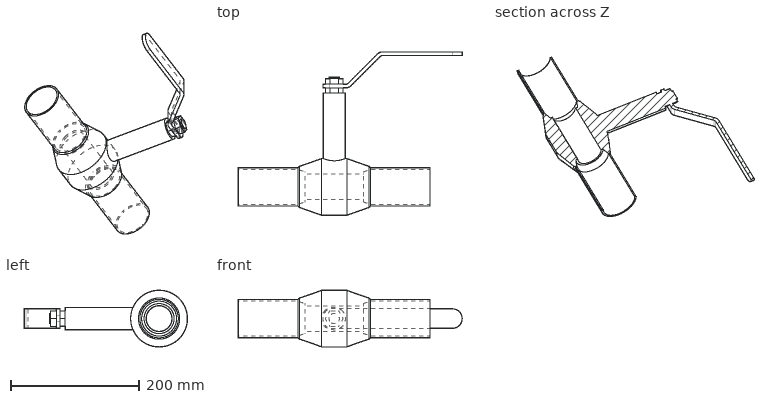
import cadquery as cq
import math

overall_length = 350.0
overall_depth = 255.5

pipe_length = 300.0
pipe_half_length = pipe_length / 2
pipe_diameter = 60.2
pipe_bore_diameter = 54.5
ball_bore_diameter = 40.0
seat_diameter = 47.0
seat_half_length = 45.5
body_diameter = 89.0
body_end_diameter = 64.5
body_straight_half_length = 19.5
body_cone_end = 54.5
body_half_length = 56.7

stem_diameter = 35.0
stem_top = 147.0
hex_across_corners = 28.0
nut_top = 169.5
thread_diameter = 16.0
thread_top = 171.5

handle_thickness = 6.0
handle_width = 30.8
handle_low_face = 154.7
handle_top_face = overall_depth - body_diameter / 2
handle_tip = overall_length - pipe_half_length
handle_end = -18.0
handle_corner_radius = 10.5
handle_angle = 45.0
first_bend_x = 21.7
bend_outer_radius = 10.5
bend_inner_radius = bend_outer_radius - handle_thickness


def turned(profile):
    """Revolve a half-profile of (x, radius) points about the X axis."""
    return cq.Workplane("XY").polyline(profile).close().revolve(360, (0, 0, 0), (1, 0, 0))


def symmetric_profile(left_half):
    """Mirror (x, radius) points about x = 0 and close them down to the axis."""
    right_half = [(-x, radius) for x, radius in reversed(left_half)]
    end_x = left_half[0][0]
    return [(end_x, 0)] + left_half + right_half + [(-end_x, 0)]


def along_y(diameter, start, end):
    """Solid cylinder on the stem axis."""
    return cq.Workplane("XZ", origin=(0, start, 0)).circle(diameter / 2).extrude(start - end)


def make_body():
    return turned(symmetric_profile([
        (-pipe_half_length, pipe_diameter / 2),
        (-body_half_length, pipe_diameter / 2),
        (-body_cone_end, body_end_diameter / 2),
        (-body_straight_half_length, body_diameter / 2),
    ]))


def make_bore():
    """Pipe bores taper to the seats, then step down to the ball bore."""
    return turned(symmetric_profile([
        (-pipe_half_length, pipe_bore_diameter / 2),
        (-body_half_length, pipe_bore_diameter / 2),
        (-seat_half_length, seat_diameter / 2),
        (-seat_half_length, ball_bore_diameter / 2),
    ]))


def make_stem():
    stem = along_y(stem_diameter, 0, stem_top)
    nuts = (
        cq.Workplane("XZ", origin=(0, stem_top, 0))
        .polygon(6, hex_across_corners)
        .extrude(stem_top - nut_top)
    )
    return stem.union(nuts).union(along_y(thread_diameter, nut_top, thread_top))


def make_handle():
    slope = math.tan(math.radians(handle_angle))
    mitre = handle_thickness / 2 * math.tan(math.radians(handle_angle / 2))
    rise = handle_top_face - handle_thickness - handle_low_face
    second_bend_x = first_bend_x + rise / slope
    upper_low_face = handle_low_face + handle_thickness
    strip = (
        cq.Workplane("XY", origin=(0, 0, -handle_width / 2))
        .moveTo(handle_end, handle_low_face)
        .lineTo(first_bend_x + mitre, handle_low_face)
        .lineTo(second_bend_x + mitre, handle_top_face - handle_thickness)
        .lineTo(handle_tip, handle_top_face - handle_thickness)
        .lineTo(handle_tip, handle_top_face)
        .lineTo(second_bend_x - mitre, handle_top_face)
        .lineTo(first_bend_x - mitre, upper_low_face)
        .lineTo(handle_end, upper_low_face)
        .close()
        .extrude(handle_width)
    )

    def bend_edge(x, y):
        return cq.selectors.NearestToPointSelector((x, y, 0))

    strip = strip.edges(bend_edge(first_bend_x + mitre, handle_low_face)).fillet(bend_outer_radius)
    strip = strip.edges(bend_edge(second_bend_x - mitre, handle_top_face)).fillet(bend_outer_radius)
    strip = strip.edges(bend_edge(first_bend_x - mitre, upper_low_face)).fillet(bend_inner_radius)
    strip = strip.edges(
        bend_edge(second_bend_x + mitre, handle_top_face - handle_thickness)
    ).fillet(bend_inner_radius)

    tip_centre = handle_tip - handle_width / 2
    half_width = handle_width / 2
    outline = (
        cq.Workplane("XZ")
        .moveTo(tip_centre, -half_width)
        .threePointArc((handle_tip, 0), (tip_centre, half_width))
        .lineTo(handle_end, half_width)
        .lineTo(handle_end, -half_width)
        .close()
        .extrude(-handle_top_face)
        .edges("|Y and <X")
        .fillet(handle_corner_radius)
    )
    return strip.intersect(outline)


result = make_body().union(make_stem()).cut(make_bore()).union(make_handle())